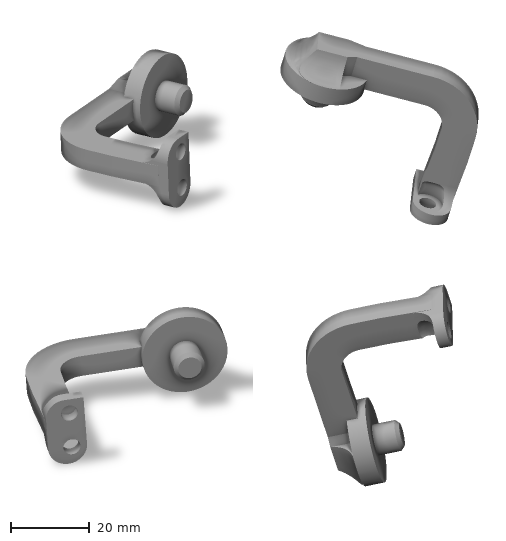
import cadquery as cq
import math

TILT_ANGLE = 3.8

DISC_DIAMETER = 22.0
DISC_THICKNESS = 5.0
PIN_DIAMETER = 8.0
PIN_LENGTH = 6.8
PIN_CHAMFER = 1.0

GRIP_HEIGHT = 6.0
GRIP_HALF_SIZE = 4.0
GRIP_BULGE_X = 4.5
GRIP_BULGE_CREST = 7.25
GRIP_BULGE_SIDE = 6.4
UPPER_FLANK_RADIUS = 6.0
LOWER_FLANK_RADIUS = 7.0

ARM_THICKNESS = 5.8
ARM_WIDTH = 8.9
ARM_REACH = 41.54
BEND_OUTER_RADIUS = 15.0
TAPER_START_X = 22.5
TAPER_ANGLE = 2.6
NECK_TOP_END_Y = -8.4
NECK_BOTTOM_END_Y = -6.5

FLANGE_END_X = 38.98
FLANGE_THICKNESS = 3.0
FLANGE_CENTER_Y = -35.9
FLANGE_WIDTH = 10.0
FLANGE_TOP_Z = 9.0
FLANGE_BOTTOM_CENTER_Z = -4.82
WEB_RADIUS = 5.0
WEB_WIDTH = 8.5

HOLE_DIAMETER = 4.4
HOLE_Y = -34.8
HOLE_Z = 5.0
RECESS_DIAMETER = 7.6
RECESS_ROUNDING = 1.8

DISC_RADIUS = DISC_DIAMETER / 2
ARM_HALF = ARM_THICKNESS / 2
FLANGE_X = FLANGE_END_X - FLANGE_THICKNESS
ARM_INNER_Y = ARM_WIDTH - ARM_REACH


def cylinder_along_x(diameter, x_start, x_end, y=0.0, z=0.0):
    plane = cq.Workplane("YZ", origin=(x_start, y, z))
    return plane.circle(diameter / 2).extrude(x_end - x_start)


def make_disc_and_pin():
    """Round disc with a chamfered pin on its far face."""
    disc_end = GRIP_HEIGHT + DISC_THICKNESS
    disc = cylinder_along_x(DISC_DIAMETER, GRIP_HEIGHT, disc_end)
    pin = cylinder_along_x(PIN_DIAMETER, disc_end, disc_end + PIN_LENGTH)
    return disc.union(pin.faces(">X").chamfer(PIN_CHAMFER))


def flank_arc_points(radius):
    """Middle and end (X, Z) of a hollow arc from the grip face to the disc (tangent)."""
    center_x = GRIP_HEIGHT - radius
    start_angle = math.asin(-center_x / radius)
    center_z = GRIP_HALF_SIZE + radius * math.cos(start_angle)
    middle_angle = (start_angle + math.pi / 2) / 2
    middle = (center_x + radius * math.sin(middle_angle), center_z - radius * math.cos(middle_angle))
    return middle, (GRIP_HEIGHT, center_z)


def make_grip():
    """Square grip face flaring into the disc: hollow above and below, blended to the rim at +Y."""
    sections = cq.Workplane("YZ")
    x_before = 0.0
    for x, crest_y, side_y in (
        (0.0, GRIP_HALF_SIZE, GRIP_HALF_SIZE),
        (GRIP_BULGE_X, GRIP_BULGE_CREST, GRIP_BULGE_SIDE),
        (GRIP_HEIGHT, DISC_RADIUS, 0.0),
    ):
        sections = sections.workplane(offset=x - x_before)
        sections = sections.moveTo(-GRIP_HALF_SIZE, -DISC_RADIUS).lineTo(side_y, -DISC_RADIUS)
        if crest_y == side_y:
            sections = sections.lineTo(side_y, DISC_RADIUS)
        else:
            sections = sections.threePointArc((crest_y, 0), (side_y, DISC_RADIUS))
        sections = sections.lineTo(-GRIP_HALF_SIZE, DISC_RADIUS).close()
        x_before = x
    flare = sections.loft()

    upper_middle, upper_end = flank_arc_points(UPPER_FLANK_RADIUS)
    lower_middle, lower_end = flank_arc_points(LOWER_FLANK_RADIUS)
    flanks = (
        cq.Workplane("XZ")
        .moveTo(0, -GRIP_HALF_SIZE)
        .lineTo(0, GRIP_HALF_SIZE)
        .threePointArc(upper_middle, upper_end)
        .lineTo(lower_end[0], -lower_end[1])
        .threePointArc((lower_middle[0], -lower_middle[1]), (0, -GRIP_HALF_SIZE))
        .close()
        .extrude(DISC_DIAMETER, both=True)
    )
    grip = flanks.intersect(cylinder_along_x(DISC_DIAMETER, 0, GRIP_HEIGHT))
    return grip.intersect(flare)


def make_neck():
    """Taper from the height of the grip to the height of the arm."""
    outline = [
        (-GRIP_HALF_SIZE, GRIP_HALF_SIZE),
        (NECK_TOP_END_Y, ARM_HALF),
        (NECK_TOP_END_Y, -ARM_HALF),
        (NECK_BOTTOM_END_Y, -ARM_HALF),
        (-GRIP_HALF_SIZE, -GRIP_HALF_SIZE),
    ]
    return cq.Workplane("YZ").polyline(outline).close().extrude(GRIP_HEIGHT)


def make_arm():
    """Flat bar that bends toward +X and drifts slightly toward +Y before it meets the flange."""
    inner_radius = BEND_OUTER_RADIUS - ARM_WIDTH
    bend_y = BEND_OUTER_RADIUS - ARM_REACH
    taper_rise = (FLANGE_X - TAPER_START_X) * math.tan(math.radians(TAPER_ANGLE))
    diagonal = math.sqrt(0.5)
    return (
        cq.Workplane("XY", origin=(0, 0, -ARM_HALF))
        .moveTo(0, NECK_TOP_END_Y)
        .lineTo(0, bend_y)
        .threePointArc(
            (BEND_OUTER_RADIUS * (1 - diagonal), bend_y - BEND_OUTER_RADIUS * diagonal),
            (BEND_OUTER_RADIUS, -ARM_REACH),
        )
        .lineTo(TAPER_START_X, -ARM_REACH)
        .lineTo(FLANGE_X, taper_rise - ARM_REACH)
        .lineTo(FLANGE_X, taper_rise + ARM_INNER_Y)
        .lineTo(TAPER_START_X, ARM_INNER_Y)
        .lineTo(BEND_OUTER_RADIUS, ARM_INNER_Y)
        .threePointArc(
            (BEND_OUTER_RADIUS - inner_radius * diagonal, bend_y - inner_radius * diagonal),
            (ARM_WIDTH, bend_y),
        )
        .lineTo(ARM_WIDTH, NECK_TOP_END_Y)
        .close()
        .extrude(ARM_THICKNESS)
    )


def flange_outline(x_start, x_end):
    """Flange outline with a full round bottom and one rounded top corner, extruded along X."""
    radius = FLANGE_WIDTH / 2
    inner_y = FLANGE_CENTER_Y + radius
    outer_y = FLANGE_CENTER_Y - radius
    corner_z = FLANGE_TOP_Z - radius
    diagonal = radius * math.sqrt(0.5)
    return (
        cq.Workplane("YZ", origin=(x_start, 0, 0))
        .moveTo(inner_y, FLANGE_TOP_Z)
        .lineTo(FLANGE_CENTER_Y, FLANGE_TOP_Z)
        .threePointArc((FLANGE_CENTER_Y - diagonal, corner_z + diagonal), (outer_y, corner_z))
        .lineTo(outer_y, FLANGE_BOTTOM_CENTER_Z)
        .threePointArc(
            (FLANGE_CENTER_Y, FLANGE_BOTTOM_CENTER_Z - radius),
            (inner_y, FLANGE_BOTTOM_CENTER_Z),
        )
        .close()
        .extrude(x_end - x_start)
    )


def make_webs():
    """Concave blends from the arm up and down to the flange, kept inside the flange outline."""
    web_x = FLANGE_X - WEB_RADIUS
    web_half = ARM_HALF + WEB_RADIUS
    web_outer_y = FLANGE_CENTER_Y - FLANGE_WIDTH / 2
    arc_x = FLANGE_X - WEB_RADIUS * (1 - math.sqrt(0.5))
    arc_z = web_half - WEB_RADIUS * math.sqrt(0.5)
    webs = (
        cq.Workplane("XZ", origin=(0, web_outer_y + WEB_WIDTH, 0))
        .moveTo(web_x, -ARM_HALF)
        .lineTo(web_x, ARM_HALF)
        .threePointArc((arc_x, arc_z), (FLANGE_X, web_half))
        .lineTo(FLANGE_X, -web_half)
        .threePointArc((arc_x, -arc_z), (web_x, -ARM_HALF))
        .close()
        .extrude(WEB_WIDTH)
    )
    return webs.intersect(flange_outline(web_x, FLANGE_X))


def cut_screw_holes(body):
    """Screw holes through the flange, with rounded-end head recesses in the webs and arm."""
    for z in (HOLE_Z, -HOLE_Z):
        recess = cylinder_along_x(RECESS_DIAMETER, FLANGE_X - WEB_RADIUS, FLANGE_X, HOLE_Y, z)
        recess = recess.faces("<X").edges().fillet(RECESS_ROUNDING)
        hole = cylinder_along_x(HOLE_DIAMETER, FLANGE_X, FLANGE_END_X, HOLE_Y, z)
        body = body.cut(recess).cut(hole)
    return body


body = make_disc_and_pin().union(make_grip()).union(make_neck()).union(make_arm())
body = body.union(make_webs()).union(flange_outline(FLANGE_X, FLANGE_END_X))
body = cut_screw_holes(body)
result = body.rotate((0, 0, 0), (1, 0, 0), TILT_ANGLE)